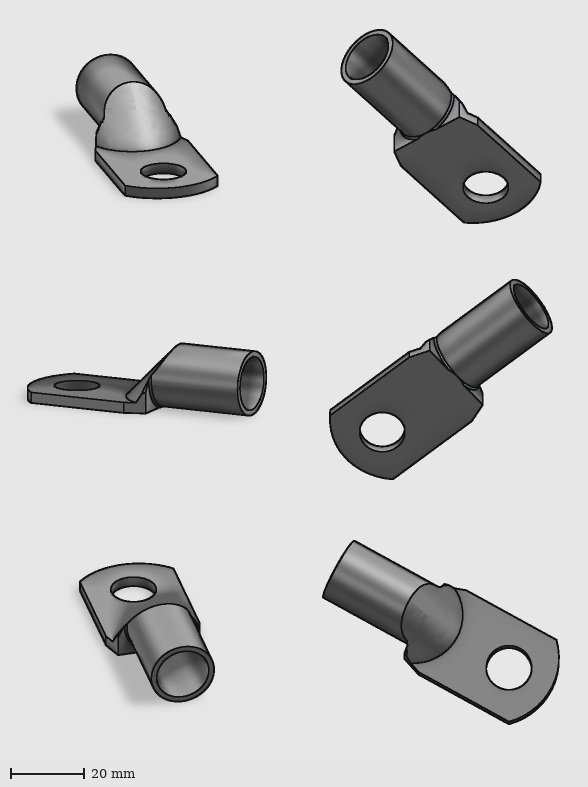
import cadquery as cq

length = 66.4
palm_width = 26.5
palm_thickness = 3.0
palm_end_radius = 28.4
palm_end_start_x = 61.0

barrel_diameter = 17.8
barrel_radius = barrel_diameter / 2
bore_radius = 7.4

slope_start_x = 22.1
slope_radius = 13.6

shoulder_x = 26.9
shoulder_width = 22.5
shoulder_corner_z = 6.0
shoulder_taper_end_x = 32.55
collar_chamfer = 0.5
bevel_normal = (-0.3, 2.0, 1.0)

bolt_hole_diameter = 12.4
bolt_hole_x = 53.5


def palm_outline():
    half_palm = palm_width / 2
    half_shoulder = shoulder_width / 2
    return (
        cq.Workplane("XY")
        .moveTo(shoulder_x, -half_shoulder)
        .lineTo(shoulder_taper_end_x, -half_palm)
        .lineTo(palm_end_start_x, -half_palm)
        .threePointArc((length, 0), (palm_end_start_x, half_palm))
        .lineTo(shoulder_taper_end_x, half_palm)
        .lineTo(shoulder_x, half_shoulder)
        .close()
    )


def barrel():
    """Solid barrel ending inside the shoulder, with a conical collar at the shoulder face."""
    barrel_end_x = slope_start_x + barrel_diameter
    collar_start_x = shoulder_x - collar_chamfer
    collar_radius = barrel_radius + collar_chamfer
    cylinder = (
        cq.Workplane("YZ").center(0, barrel_radius).circle(barrel_radius).extrude(barrel_end_x)
    )
    collar = (
        cq.Workplane("YZ", origin=(collar_start_x, 0, barrel_radius))
        .circle(barrel_radius)
        .workplane(offset=collar_chamfer)
        .circle(collar_radius)
        .loft()
    )
    above_ground = cq.Workplane("XY").box(length, palm_width, barrel_diameter, (False, True, False))
    return cylinder.union(collar.intersect(above_ground))


def slope_envelope():
    """Oblique round-fronted column leaning back at 45 degrees, with room for the whole barrel."""
    def section(z):
        front_x = slope_start_x + barrel_diameter - z
        center_x = front_x - slope_radius
        return (
            cq.Workplane("XY", origin=(0, 0, z))
            .moveTo(-length, -slope_radius)
            .lineTo(center_x, -slope_radius)
            .threePointArc((front_x, 0), (center_x, slope_radius))
            .lineTo(-length, slope_radius)
            .close()
            .wire()
            .val()
        )

    return cq.Workplane(cq.Solid.makeLoft([section(0), section(barrel_diameter)], True))


def shoulder_bevel(side):
    """Waste above the sloping flat on one shoulder corner; side is +1 or -1 in Y."""
    nx, ny, nz = bevel_normal
    plane = cq.Plane(
        origin=(shoulder_x, side * shoulder_width / 2, shoulder_corner_z),
        xDir=(0, -side * nz, ny),
        normal=(nx, side * ny, nz),
    )
    return cq.Workplane(plane).rect(length, length).extrude(length)


shoulder = palm_outline().extrude(barrel_diameter)
for side in (1, -1):
    shoulder = shoulder.cut(shoulder_bevel(side))

palm = palm_outline().extrude(palm_thickness)
bolt_hole = (
    cq.Workplane("XY").center(bolt_hole_x, 0).circle(bolt_hole_diameter / 2).extrude(palm_thickness)
)

bore = cq.Workplane("YZ").center(0, barrel_radius).circle(bore_radius).extrude(slope_start_x)

sloped_body = shoulder.union(barrel()).intersect(slope_envelope())
result = sloped_body.union(palm).cut(bolt_hole).cut(bore)